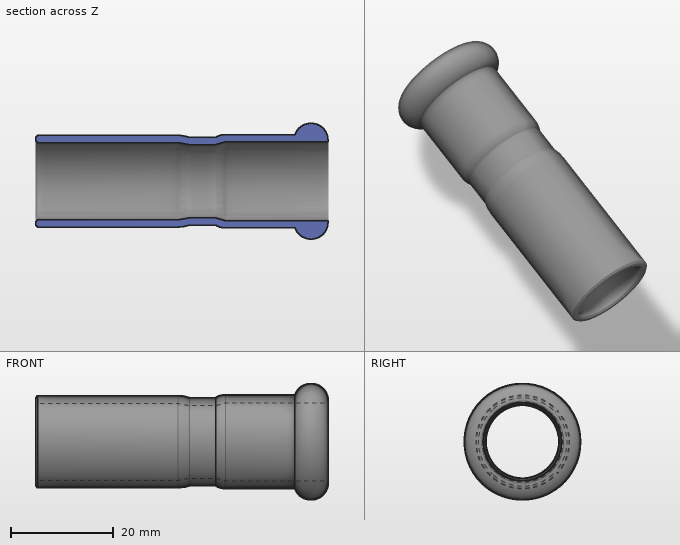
import cadquery as cq
import math

length = 57.0

spigot_diameter = 18.0
neck_diameter = 17.2
socket_diameter = 18.3
bead_diameter = 22.7
spigot_bore = 15.0
neck_bore = 14.2
socket_bore = 15.3

spigot_end = 27.65
neck_start = 29.85
neck_end = 35.05
socket_start = 36.95

bead_radius = 3.35

outer_chamfer = 0.4
inner_chamfer = 0.35

spigot_radius = spigot_diameter / 2
neck_radius = neck_diameter / 2
socket_radius = socket_diameter / 2
bead_center_x = length - bead_radius
bead_center_radius = bead_diameter / 2 - bead_radius
bead_start = bead_center_x - math.sqrt(bead_radius**2 - (socket_radius - bead_center_radius) ** 2)


def make_body():
    """Solid of revolution with the outer outline of the fitting."""
    return (
        cq.Workplane("XY")
        .moveTo(0, 0)
        .lineTo(0, spigot_radius - outer_chamfer)
        .lineTo(outer_chamfer, spigot_radius)
        .lineTo(spigot_end, spigot_radius)
        .tangentArcPoint((neck_start, neck_radius), relative=False)
        .lineTo(neck_end, neck_radius)
        .threePointArc(shoulder_midpoint(), (socket_start, socket_radius))
        .lineTo(bead_start, socket_radius)
        .threePointArc((bead_center_x, bead_diameter / 2), (length, bead_center_radius))
        .lineTo(length, 0)
        .close()
        .revolve(360, (0, 0), (1, 0))
    )


def shoulder_midpoint():
    """Middle of the arc that rises from the neck and ends tangent to the socket."""
    run = socket_start - neck_end
    rise = socket_radius - neck_radius
    arc_radius = (run**2 + rise**2) / (2 * rise)
    half_angle = math.asin(run / arc_radius) / 2
    x = socket_start - arc_radius * math.sin(half_angle)
    radius = socket_radius - arc_radius * (1 - math.cos(half_angle))
    return (x, radius)


def make_bore():
    """Through bore, narrowed at the neck by a cone on each side."""
    return (
        cq.Workplane("XY")
        .moveTo(0, 0)
        .lineTo(0, spigot_bore / 2 + inner_chamfer)
        .lineTo(inner_chamfer, spigot_bore / 2)
        .lineTo(spigot_end, spigot_bore / 2)
        .lineTo(neck_start, neck_bore / 2)
        .lineTo(neck_end, neck_bore / 2)
        .lineTo(socket_start, socket_bore / 2)
        .lineTo(length, socket_bore / 2)
        .lineTo(length, 0)
        .close()
        .revolve(360, (0, 0), (1, 0))
    )


result = make_body().cut(make_bore())